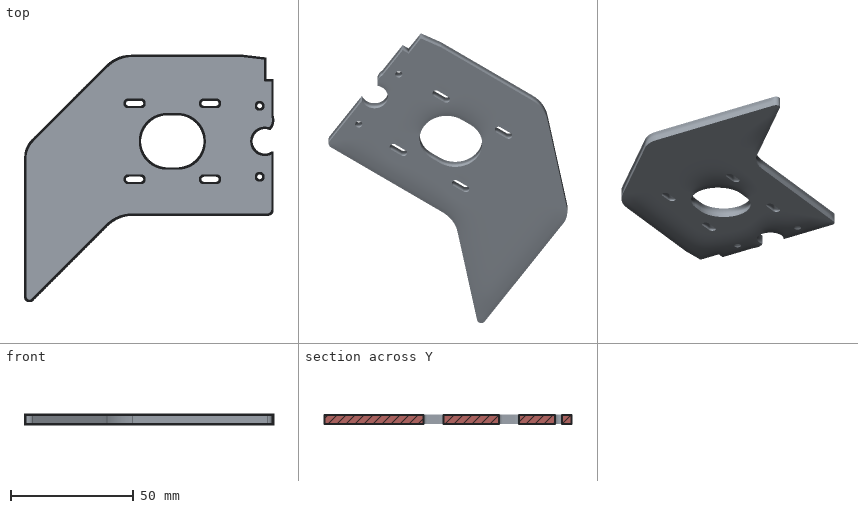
import cadquery as cq
import math

thickness = 4.0
length = 101.6
depth = 100.5
right_edge_x = 101.3

lower_edge_y = 35.3
left_edge_top_y = 62.8
bend_radius = 14.6
left_corner_radius = 10.0
tip_radius = 1.7
lower_right_radius = 2.0
taper_start_x = 89.0
step_x = 98.3
taper_end_y = 99.3
step_y = 90.5

centre_y = 65.4
opening_x = 60.2
opening_length = 26.4
opening_width = 22.1
slot_spacing_x = 30.9
slot_spacing_y = 31.1
slot_length = 8.0
slot_width = 2.9
hole_x = 96.0
hole_spacing = 29.0
hole_diameter = 2.9
notch_x = 98.1
notch_radius = 5.5

lobe_top_y = 75.8
lobe_side_y = 73.9
lobe_end_x = 100.1
lobe_end_y = centre_y + math.sqrt(notch_radius**2 - (lobe_end_x - notch_x) ** 2)

upper_bend_x = depth - left_edge_top_y
slope_foot_y = -tip_radius * math.sqrt(2)
lower_bend_x = lower_edge_y - slope_foot_y


def make_plate():
    """Extrude the outline and round its corners."""
    plate = (
        cq.Workplane("XY")
        .moveTo(0, slope_foot_y)
        .lineTo(lower_bend_x, lower_edge_y)
        .lineTo(right_edge_x, lower_edge_y)
        .lineTo(right_edge_x, centre_y)
        .lineTo(lobe_end_x, centre_y)
        .lineTo(lobe_end_x, lobe_end_y)
        .threePointArc((length, lobe_side_y), (right_edge_x, lobe_top_y))
        .lineTo(right_edge_x, step_y)
        .lineTo(step_x, step_y)
        .lineTo(step_x, taper_end_y)
        .lineTo(taper_start_x, depth)
        .lineTo(upper_bend_x, depth)
        .lineTo(0, left_edge_top_y)
        .close()
        .extrude(thickness)
    )
    rounded_corners = [
        (0, slope_foot_y, tip_radius),
        (lower_bend_x, lower_edge_y, bend_radius),
        (right_edge_x, lower_edge_y, lower_right_radius),
        (upper_bend_x, depth, bend_radius),
        (0, left_edge_top_y, left_corner_radius),
    ]
    for x, y, radius in rounded_corners:
        corner = cq.selectors.NearestToPointSelector((x, y, thickness / 2))
        plate = plate.edges("|Z").edges(corner).fillet(radius)
    return plate


def cut_openings(plate):
    """Cut the central opening, four slots, two holes and the edge notch."""
    base = cq.Workplane("XY")
    opening = base.center(opening_x, centre_y).slot2D(opening_length, opening_width).extrude(thickness)
    slots = (
        base.center(opening_x, centre_y)
        .rarray(slot_spacing_x, slot_spacing_y, 2, 2)
        .slot2D(slot_length, slot_width)
        .extrude(thickness)
    )
    holes = (
        base.center(hole_x, centre_y)
        .rarray(1, hole_spacing, 1, 2)
        .circle(hole_diameter / 2)
        .extrude(thickness)
    )
    notch = base.center(notch_x, centre_y).circle(notch_radius).extrude(thickness)
    return plate.cut(opening).cut(slots).cut(holes).cut(notch)


result = cut_openings(make_plate())